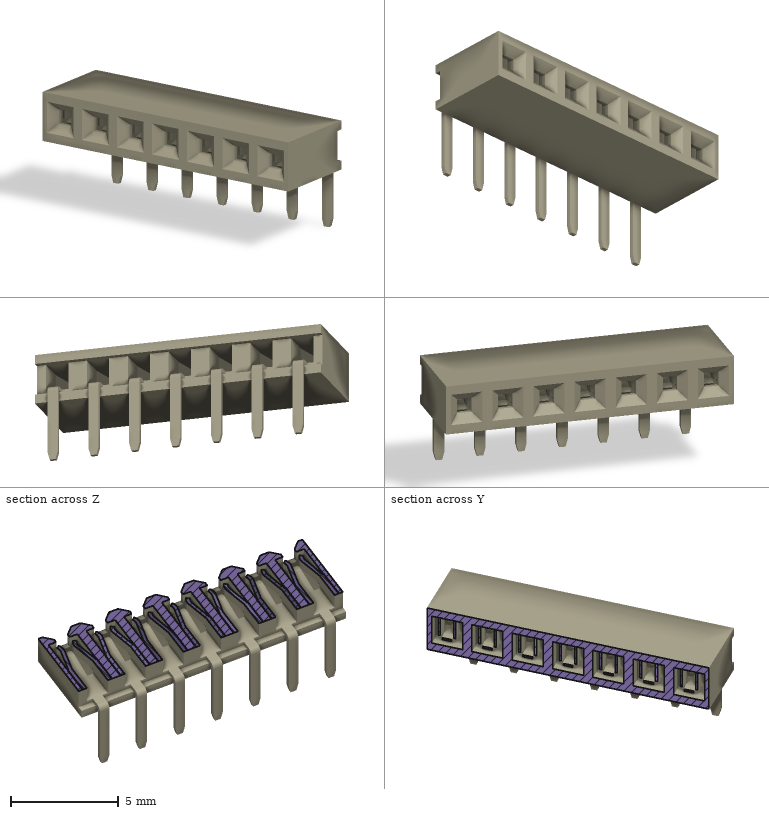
import cadquery as cq
import math


contact_count = 7
housing_length = 14.0
pitch = housing_length / contact_count

housing_depth = 4.3
housing_height = 2.4
axis_height = housing_height / 2
cavity_size = 1.51
neck_size = 0.7
funnel_depth = (cavity_size - neck_size) / 2
neck_length = 0.21
recess_depth = 0.3
neck_back = funnel_depth + neck_length
recess_face = housing_depth - recess_depth
cavity_floor = axis_height - cavity_size / 2

sheet = 0.21
bend_radius = 0.27
contact_width = 0.5
leg_overhang = 0.4
leg_drop = 3.01
leg_tip_width = 0.3
leg_tip_length = 0.38
side_beam_bottom = -0.24

crest = contact_width / 2
channel_inner = cavity_size / 2 - sheet
beam_tip_gap = 0.24
beam_tip = neck_back + beam_tip_gap
flare_radius = 0.42
flare_start = math.radians(40)
flare_end = math.radians(10)
lead_length = 0.15
beam_length = 1.68
beam_root = beam_tip + beam_length


def socket_x(index):
    return (index - (contact_count - 1) / 2) * pitch


def box(x_min, x_max, y_min, y_max, z_min, z_max):
    block = cq.Workplane("XY").box(x_max - x_min, y_max - y_min, z_max - z_min, centered=False)
    return block.translate((x_min, y_min, z_min))


def make_socket():
    """Funnel, neck and rear cavity of one socket, on the Y axis at axis height."""
    half_cavity = cavity_size / 2
    half_neck = neck_size / 2
    funnel = (
        cq.Workplane("XZ")
        .rect(cavity_size, cavity_size)
        .workplane(offset=-funnel_depth)
        .rect(neck_size, neck_size)
        .loft(ruled=True)
    )
    neck = box(-half_neck, half_neck, funnel_depth, neck_back, -half_neck, half_neck)
    cavity = box(-half_cavity, half_cavity, neck_back, recess_face, -half_cavity, half_cavity)
    return funnel.union(neck).union(cavity).translate((0, 0, axis_height))


def make_housing():
    half_length = housing_length / 2
    housing = box(-half_length, half_length, 0, housing_depth, 0, housing_height)
    rear_recess = box(
        -half_length, half_length, recess_face, housing_depth, cavity_floor, cavity_floor + cavity_size
    )
    housing = housing.cut(rear_recess)
    socket = make_socket()
    for index in range(contact_count):
        housing = housing.cut(socket.translate((socket_x(index), 0, 0)))
    return housing


def beam_profile():
    """Beam outline in the XY plane, on the +X side of the socket axis."""
    crest_y = beam_tip + lead_length * math.cos(flare_end) + flare_radius * (
        math.sin(flare_start) - math.sin(flare_end)
    )
    centre_x = crest + lead_length * math.sin(flare_end) + flare_radius * math.cos(flare_end)
    centre_y = beam_tip + flare_radius * math.sin(flare_start)
    flare_middle = (flare_start + flare_end) / 2

    def on_flare(radius, angle):
        return (centre_x - radius * math.cos(angle), centre_y - radius * math.sin(angle))

    outer_radius = flare_radius - sheet
    return (
        cq.Workplane("XY")
        .moveTo(*on_flare(flare_radius, flare_start))
        .threePointArc(on_flare(flare_radius, flare_middle), on_flare(flare_radius, flare_end))
        .lineTo(crest, crest_y)
        .lineTo(channel_inner, beam_root)
        .lineTo(channel_inner + sheet, beam_root)
        .lineTo(crest + sheet, crest_y)
        .lineTo(*on_flare(outer_radius, flare_end))
        .threePointArc(on_flare(outer_radius, flare_middle), on_flare(outer_radius, flare_start))
        .close()
    )


def make_channel():
    """U-shaped rear part, open at the top and resting on the cavity walls and floor."""
    half_cavity = cavity_size / 2
    outside = box(-half_cavity, half_cavity, beam_root, recess_face, -half_cavity, half_cavity)
    inside = box(-channel_inner, channel_inner, beam_root, recess_face, -channel_inner, half_cavity)
    return outside.cut(inside)


def make_beams():
    side_height = cavity_size / 2 - side_beam_bottom
    right_beam = beam_profile().extrude(side_height).translate((0, 0, side_beam_bottom))
    left_beam = right_beam.mirror("YZ")
    lower_beam = (
        beam_profile()
        .extrude(contact_width / 2, both=True)
        .rotate((0, 0, 0), (0, 1, 0), 90)
    )
    return right_beam, left_beam, lower_beam


def make_leg():
    """Strip leaving the channel floor, bent down behind the housing and tapered at its end."""
    top = sheet - cavity_size / 2
    bottom = -axis_height - leg_drop
    back = housing_depth + leg_overhang
    bend_y = back - bend_radius
    bend_z = top - bend_radius
    inner_radius = bend_radius - sheet

    def bend_middle(radius):
        return (bend_y + radius * math.sqrt(0.5), bend_z + radius * math.sqrt(0.5))

    strip = (
        cq.Workplane("YZ")
        .moveTo(recess_face, top - sheet)
        .lineTo(recess_face, top)
        .lineTo(bend_y, top)
        .threePointArc(bend_middle(bend_radius), (back, bend_z))
        .lineTo(back, bottom)
        .lineTo(back - sheet, bottom)
        .lineTo(back - sheet, bend_z)
        .threePointArc(bend_middle(inner_radius), (bend_y, top - sheet))
        .close()
        .extrude(contact_width / 2, both=True)
    )
    half_width = contact_width / 2
    half_tip = leg_tip_width / 2
    taper_z = bottom + leg_tip_length
    front_outline = (
        cq.Workplane("XZ")
        .polyline([
            (-half_width, top),
            (half_width, top),
            (half_width, taper_z),
            (half_tip, bottom),
            (-half_tip, bottom),
            (-half_width, taper_z),
        ])
        .close()
        .extrude(-back)
    )
    return strip.intersect(front_outline)


def make_contact():
    contact = make_channel()
    for beam in make_beams():
        contact = contact.union(beam)
    return contact.union(make_leg()).translate((0, 0, axis_height))


housing = make_housing()
contact = make_contact()
contacts = [contact.translate((socket_x(index), 0, 0)) for index in range(contact_count)]

result = cq.Compound.makeCompound([housing.val(), *[copy.val() for copy in contacts]])